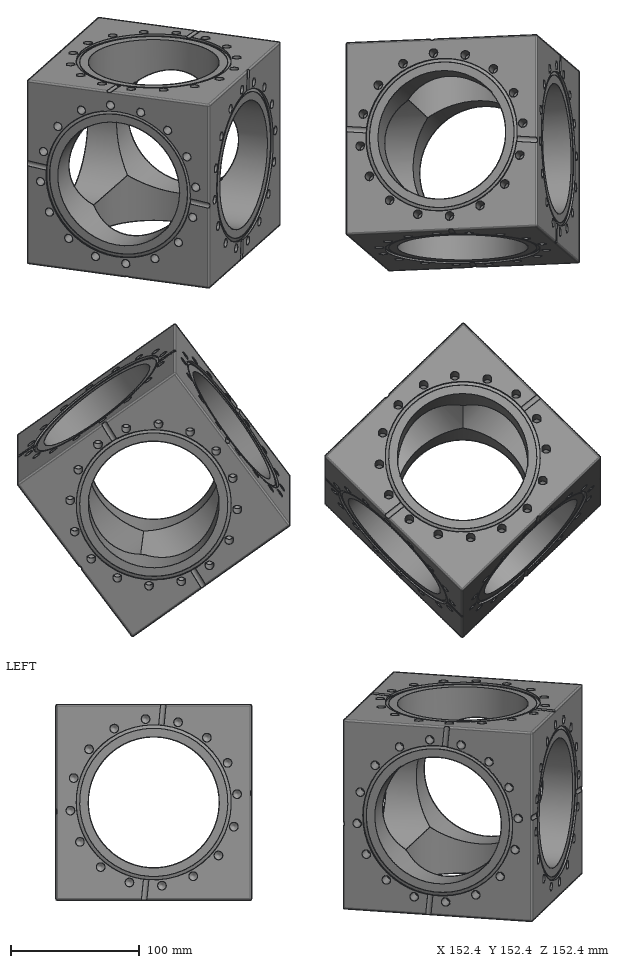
import cadquery as cq
import math

CUBE = 152.4
EDGE_RADIUS = 1.4
BORE_DIAMETER = 101.7

RECESS_DIAMETER = 120.5
KNIFE_DIAMETER = 115.2
KNIFE_TIP_DEPTH = 0.8
KNIFE_SLOPE = 20.0
SEAT_DEPTH = 1.2

BOLT_COUNT = 16
BOLT_CIRCLE = 130.1
BOLT_DIAMETER = 6.7
BOLT_DEPTH = 15.2
DRILL_POINT_ANGLE = 118.0

GROOVE_WIDTH = 4.3
GROOVE_DEPTH = 1.0
GROOVE_OVERLAP = 0.2

BOLT_PITCH = 360 / BOLT_COUNT
BOLT_START = BOLT_PITCH / 4
GROOVE_ANGLE = BOLT_START - BOLT_PITCH / 2

FACES = [
    ((0, -1, 0), (1, 0, 0)),
    ((0, 1, 0), (1, 0, 0)),
    ((0, 0, 1), (0, 1, 0)),
    ((0, 0, -1), (0, 1, 0)),
    ((-1, 0, 0), (0, 0, 1)),
    ((1, 0, 0), (0, 0, 1)),
]


def revolve_about_z(points):
    """Solid of revolution about Z from (radius, height) points."""
    return cq.Workplane("XZ").polyline(points).close().revolve(360, (0, 0, 0), (0, 1, 0))


def port_cutter():
    """Bore from the cube centre outwards plus the knife-edge recess; the face lies at z = 0."""
    bore_radius = BORE_DIAMETER / 2
    knife_radius = KNIFE_DIAMETER / 2
    recess_radius = RECESS_DIAMETER / 2
    slope_drop = (recess_radius - knife_radius) * math.tan(math.radians(KNIFE_SLOPE))
    return revolve_about_z([
        (0, 0),
        (recess_radius, 0),
        (recess_radius, -KNIFE_TIP_DEPTH - slope_drop),
        (knife_radius, -KNIFE_TIP_DEPTH),
        (knife_radius, -SEAT_DEPTH),
        (bore_radius, -SEAT_DEPTH),
        (bore_radius, -CUBE / 2),
        (0, -CUBE / 2),
    ])


def bolt_cutters():
    """Ring of blind holes with conical drill points."""
    radius = BOLT_DIAMETER / 2
    point_length = radius / math.tan(math.radians(DRILL_POINT_ANGLE / 2))
    hole = revolve_about_z([
        (0, 0),
        (radius, 0),
        (radius, -BOLT_DEPTH),
        (0, -BOLT_DEPTH - point_length),
    ]).val()
    return (
        cq.Workplane("XY")
        .polarArray(BOLT_CIRCLE / 2, BOLT_START, 360, BOLT_COUNT)
        .eachpoint(lambda location: hole.moved(location), combine=False)
    )


def groove_cutters():
    """Two opposite radial grooves from the recess out past the cube edge."""
    radius = ((GROOVE_WIDTH / 2) ** 2 + GROOVE_DEPTH ** 2) / (2 * GROOVE_DEPTH)
    axis_height = radius - GROOVE_DEPTH
    start = RECESS_DIAMETER / 2 - GROOVE_OVERLAP
    length = CUBE / 2 + GROOVE_WIDTH - start
    groove = (
        cq.Workplane("YZ", origin=(start, 0, 0))
        .center(0, axis_height)
        .circle(radius)
        .extrude(length)
        .rotate((0, 0, 0), (0, 0, 1), GROOVE_ANGLE)
    )
    opposite = groove.rotate((0, 0, 0), (0, 0, 1), 180)
    return groove.add(opposite)


port_tools = (
    port_cutter().vals()
    + bolt_cutters().vals()
    + groove_cutters().vals()
)

result = cq.Workplane("XY").box(CUBE, CUBE, CUBE).edges().fillet(EDGE_RADIUS)
for normal, groove_axis in FACES:
    face_centre = tuple(CUBE / 2 * component for component in normal)
    face_location = cq.Plane(face_centre, groove_axis, normal).location
    placed_tools = [tool.moved(face_location) for tool in port_tools]
    result = result.cut(cq.Workplane("XY").newObject(placed_tools).combine())